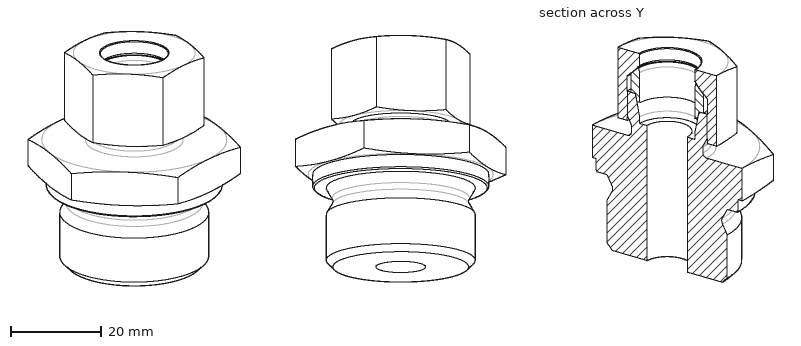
import cadquery as cq
import math


stud_thread_top = 11.9
collar_bottom = 17.9
body_hex_bottom = 21.05
body_hex_top = 28.95
neck_fillet_top = 31.4
nut_bottom = 32.4
tube_stop = 32.65
body_top = 39.6
ring_top = 46.0
nut_top = 49.5

bore_radius = 11.0 / 2
tube_radius = 15.0 / 2

stud_thread_radius = 33.0 / 2
stud_chamfer = 1.5
groove_radius = 30.0 / 2
groove_fillet = 1.5
collar_radius = 39.0 / 2
collar_chamfer = 0.35

neck_radius = 19.7 / 2
neck_fillet = 1.0
nut_thread_radius = 22.0 / 2
socket_mouth_radius = 17.3 / 2
relief_angle = math.radians(30)
socket_angle = math.radians(12)

body_hex_width = 41.0
nut_hex_width = 27.0
hex_turn = 30
hex_bevel_angle = math.radians(15)

ring_radius = 20.0 / 2
ring_back_radius = 8.1
ring_lead_in_depth = 1.1
ring_lead_in_angle = math.radians(12)
ring_nose_length = 2.0
nut_mouth_chamfer = 0.2
seat_top = ring_top + ring_back_radius - tube_radius


def revolve(profile):
    """Turn a closed (radius, height) profile around the Z axis."""
    return profile.close().revolve(360, (0, 0, 0), (0, 1, 0))


def hexagon(width, bottom, top):
    """Hexagonal prism with corners on the Y axis and bevelled corners at both ends."""
    corner_radius = width / math.sqrt(3)
    flat_radius = width / 2
    drop = (corner_radius - flat_radius) * math.tan(hex_bevel_angle)
    prism = (
        cq.Workplane("XY", origin=(0, 0, bottom))
        .polygon(6, 2 * corner_radius)
        .extrude(top - bottom)
        .rotate((0, 0, 0), (0, 0, 1), hex_turn)
    )
    bevel = revolve(
        cq.Workplane("XZ")
        .moveTo(0, bottom)
        .lineTo(flat_radius, bottom)
        .lineTo(corner_radius, bottom + drop)
        .lineTo(corner_radius, top - drop)
        .lineTo(flat_radius, top)
        .lineTo(0, top)
    )
    return prism.intersect(bevel)


def make_stud_end():
    """Lower thread, V-shaped relief with a rounded root, and sealing collar."""
    root_height = (stud_thread_top + collar_bottom) / 2
    arc_half_height = groove_fillet * math.sin(relief_angle)
    arc_end_radius = groove_radius + groove_fillet * (1 - math.cos(relief_angle))
    return revolve(
        cq.Workplane("XZ")
        .moveTo(0, 0)
        .lineTo(stud_thread_radius - stud_chamfer, 0)
        .lineTo(stud_thread_radius, stud_chamfer)
        .lineTo(stud_thread_radius, stud_thread_top)
        .lineTo(arc_end_radius, root_height - arc_half_height)
        .threePointArc((groove_radius, root_height), (arc_end_radius, root_height + arc_half_height))
        .lineTo(stud_thread_radius, collar_bottom)
        .lineTo(collar_radius - collar_chamfer, collar_bottom)
        .lineTo(collar_radius, collar_bottom + collar_chamfer)
        .lineTo(collar_radius, body_hex_bottom)
        .lineTo(0, body_hex_bottom)
    )


def make_nut_end():
    """Filleted neck that widens into the thread for the nut."""
    arc_end_radius = neck_radius + neck_fillet * (1 - math.cos(relief_angle))
    arc_end_height = neck_fillet_top + neck_fillet * math.sin(relief_angle)
    thread_bottom = arc_end_height + (nut_thread_radius - arc_end_radius) / math.tan(relief_angle)
    return revolve(
        cq.Workplane("XZ")
        .moveTo(0, body_hex_top)
        .lineTo(neck_radius + neck_fillet, body_hex_top)
        .radiusArc((neck_radius, body_hex_top + neck_fillet), neck_fillet)
        .lineTo(neck_radius, neck_fillet_top)
        .radiusArc((arc_end_radius, arc_end_height), neck_fillet)
        .lineTo(nut_thread_radius, thread_bottom)
        .lineTo(nut_thread_radius, body_top)
        .lineTo(0, body_top)
    )


def make_body_bore():
    """Through bore, tube socket with a flat stop, and tapered mouth for the ring."""
    taper_depth = (socket_mouth_radius - tube_radius) / math.tan(socket_angle)
    return revolve(
        cq.Workplane("XZ")
        .moveTo(0, 0)
        .lineTo(bore_radius, 0)
        .lineTo(bore_radius, tube_stop)
        .lineTo(tube_radius, tube_stop)
        .lineTo(tube_radius, body_top - taper_depth)
        .lineTo(socket_mouth_radius, body_top)
        .lineTo(0, body_top)
    )


def make_body():
    hex_section = hexagon(body_hex_width, body_hex_bottom, body_hex_top)
    return make_stud_end().union(hex_section).union(make_nut_end()).cut(make_body_bore())


def make_ring():
    """Ring with its nose in the tapered socket and its back against the nut seat."""
    nose_radius = socket_mouth_radius - ring_nose_length * math.tan(socket_angle)
    lead_in_radius = tube_radius + ring_lead_in_depth * math.tan(ring_lead_in_angle)
    return revolve(
        cq.Workplane("XZ")
        .moveTo(tube_radius, body_top - ring_nose_length)
        .lineTo(nose_radius, body_top - ring_nose_length)
        .lineTo(socket_mouth_radius, body_top)
        .lineTo(ring_radius, body_top)
        .lineTo(ring_radius, ring_top - (ring_radius - ring_back_radius))
        .lineTo(ring_back_radius, ring_top)
        .lineTo(lead_in_radius, ring_top)
        .lineTo(tube_radius, ring_top - ring_lead_in_depth)
    )


def make_nut():
    """Union nut with a hole for the body thread, a 45 degree seat and a chamfered tube hole."""
    hole = revolve(
        cq.Workplane("XZ")
        .moveTo(0, nut_bottom)
        .lineTo(nut_thread_radius, nut_bottom)
        .lineTo(nut_thread_radius, seat_top - (nut_thread_radius - tube_radius))
        .lineTo(tube_radius, seat_top)
        .lineTo(tube_radius, nut_top - nut_mouth_chamfer)
        .lineTo(tube_radius + nut_mouth_chamfer, nut_top)
        .lineTo(0, nut_top)
    )
    return hexagon(nut_hex_width, nut_bottom, nut_top).cut(hole)


body = make_body()
ring = make_ring()
nut = make_nut()

result = cq.Compound.makeCompound([body.val(), ring.val(), nut.val()])